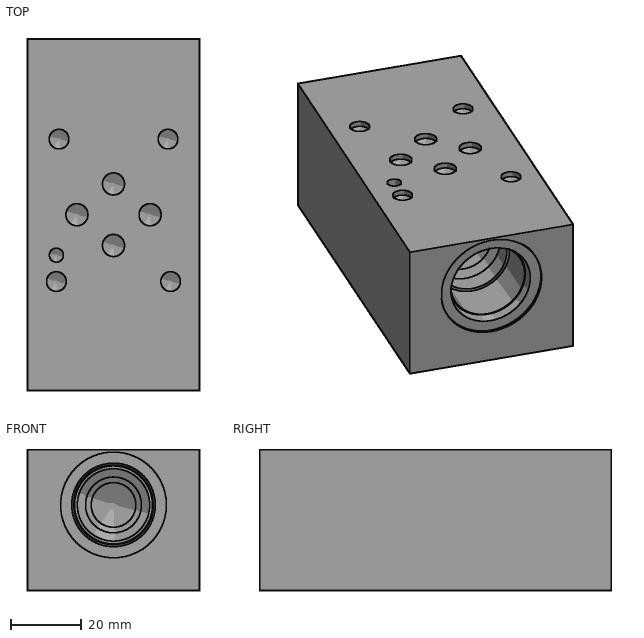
import cadquery as cq
import math

width = 49.0
length = 100.1
height = 40.1

tip_angle = 118

port_drop = 15.7
spotface_diameter = 30.1
spotface_depth = 0.8
seal_diameter = 23.8
seal_end_diameter = 22.6
seal_depth = 3.5
thread_diameter = 22.2
thread_depth = 17.0
tap_drill_diameter = 20.6
tap_drill_depth = 23.0
passage_diameter = 15.9
passage_depth = 30.0
pilot_diameter = 12.7
pilot_depth = 40.0

flow_diameter = 6.3
flow_depth = 1.6
flow_spacing_x = 20.8
flow_spacing_y = 17.5
mount_diameter = 5.6
mount_depth = 1.6
mount_back_y = 21.5
mount_spacing_y = 40.5
mount_back_spacing_x = 31.0
mount_front_spacing_x = 32.5
pin_diameter = 4.0
pin_depth = 4.0
pin_to_back_mounts = 33.0


def tip_height(large_diameter, small_diameter=0.0):
    """Axial length of a drill-point cone between two diameters."""
    half_angle = math.radians(tip_angle / 2)
    return (large_diameter - small_diameter) / 2 / math.tan(half_angle)


def top_hole(x, y, diameter, depth):
    """Blind drilled hole in the top face, depth measured to the full diameter."""
    radius = diameter / 2
    profile = [
        (0, height),
        (radius, height),
        (radius, height - depth),
        (0, height - depth - tip_height(diameter)),
    ]
    hole = cq.Workplane("XZ").polyline(profile).close().revolve(360, (0, 0), (0, 1))
    return hole.translate((x, y, 0))


def threaded_port():
    """Stepped bore along +Y, starting at the -Y face."""
    steps = [
        (spotface_diameter, 0),
        (spotface_diameter, spotface_depth),
        (seal_diameter, spotface_depth),
        (seal_end_diameter, seal_depth),
        (thread_diameter, seal_depth),
        (thread_diameter, thread_depth),
        (tap_drill_diameter, thread_depth),
        (tap_drill_diameter, tap_drill_depth),
        (passage_diameter, tap_drill_depth + tip_height(tap_drill_diameter, passage_diameter)),
        (passage_diameter, passage_depth),
        (pilot_diameter, passage_depth + tip_height(passage_diameter, pilot_diameter)),
        (pilot_diameter, pilot_depth),
        (0, pilot_depth + tip_height(pilot_diameter)),
    ]
    profile = [(0, 0)] + [(diameter / 2, depth) for diameter, depth in steps]
    bore = cq.Workplane("XY").polyline(profile).close().revolve(360, (0, 0), (0, 1))
    return bore.translate((0, -length / 2, height - port_drop))


block = cq.Workplane("XY").box(width, length, height, centered=(True, True, False))
result = block.cut(threaded_port())

flow_holes = [
    (-flow_spacing_x / 2, 0),
    (flow_spacing_x / 2, 0),
    (0, -flow_spacing_y / 2),
    (0, flow_spacing_y / 2),
]
for x, y in flow_holes:
    result = result.cut(top_hole(x, y, flow_diameter, flow_depth))

mount_rows = [
    (mount_back_y, mount_back_spacing_x),
    (mount_back_y - mount_spacing_y, mount_front_spacing_x),
]
for row_y, spacing_x in mount_rows:
    for x in (-spacing_x / 2, spacing_x / 2):
        result = result.cut(top_hole(x, row_y, mount_diameter, mount_depth))

pin_x = -mount_front_spacing_x / 2
pin_y = mount_back_y - pin_to_back_mounts
result = result.cut(top_hole(pin_x, pin_y, pin_diameter, pin_depth))